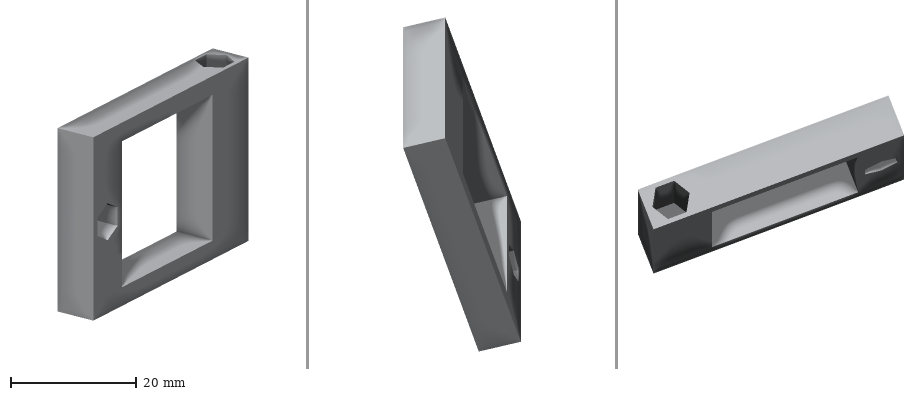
import cadquery as cq
import math

thickness = 7.0
length_y = 42.88
height_z = 31.42

window_size = 25.0
back_margin = 10.0
front_margin = length_y - window_size - back_margin
window_y = length_y / 2 - back_margin - window_size / 2

hex_flats = 5.5
hex_corners = hex_flats / math.cos(math.radians(30))
cross_hole_y = -length_y / 2 + front_margin / 2
top_hole_end_distance = 4.34
top_hole_y = length_y / 2 - top_hole_end_distance
top_hole_depth = height_z / 2


def make_plate():
    return cq.Workplane("XY").box(thickness, length_y, height_z)


def make_window():
    return cq.Workplane("XY").box(thickness, window_size, window_size).translate((0, window_y, 0))


def make_cross_hole():
    """Hexagonal hole through the plate along X, with corners pointing up and down."""
    return (
        cq.Workplane("YZ", origin=(-thickness / 2, cross_hole_y, 0))
        .transformed(rotate=(0, 0, 90))
        .polygon(6, hex_corners)
        .extrude(thickness)
    )


def make_top_hole():
    """Blind hexagonal hole down from the top face, with corners pointing along Y."""
    return (
        cq.Workplane("XY", origin=(0, top_hole_y, height_z / 2))
        .transformed(rotate=(0, 0, 90))
        .polygon(6, hex_corners)
        .extrude(-top_hole_depth)
    )


result = make_plate().cut(make_window()).cut(make_cross_hole()).cut(make_top_hole())